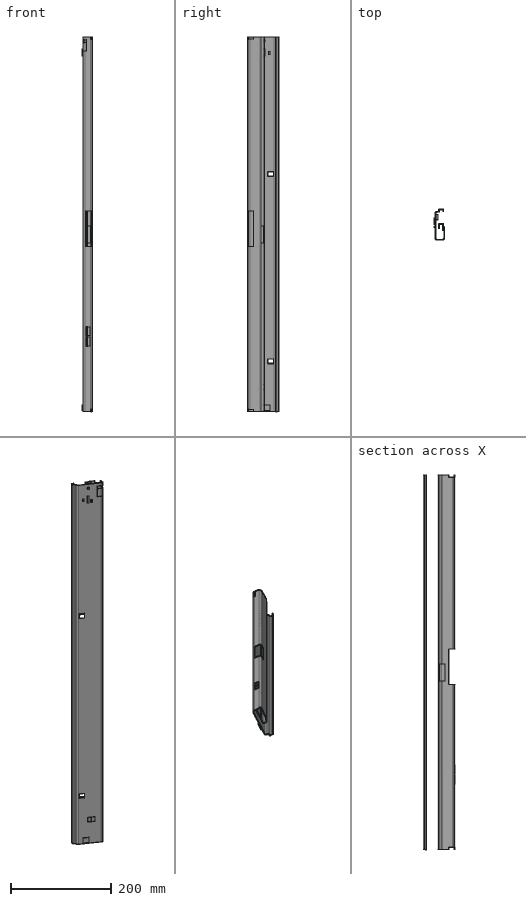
import cadquery as cq
import math

TOTAL_WIDTH = 21.79
TOTAL_DEPTH = 62.55
TOTAL_HEIGHT = 750.0
SHEET = 1.8
TAB_REACH = 2.25

HALF_SHEET = SHEET / 2
WALL_OUTER = TAB_REACH
WALL_INNER = WALL_OUTER + SHEET
WALL_MID = WALL_OUTER + HALF_SHEET
SIDE_MID = TOTAL_WIDTH - HALF_SHEET
LIP_NEAR = 10.6
LIP_FAR = 18.8
LOWER_LIP_TOP = 32.8
LOWER_LIP_END = 23.2
SIDE_JOG = 25.6
SHOULDER_MID = 56.8
UPPER_LIP_TOP = TOTAL_DEPTH - HALF_SHEET
UPPER_LIP_END = 57.2
CORNER_RADIUS = 3.6
LIP_RADIUS = 1.2

RAIL_BOTTOM = 1.2
RAIL_LENGTH = TOTAL_HEIGHT - RAIL_BOTTOM
FOOT_WIDTH = 1.2

MAIN_WINDOW_X = 7.5
MAIN_WINDOW_Z = (331.5, 402.0)
SMALL_WINDOW_X = (8.0, 16.4)
SMALL_WINDOW_Z = (132.0, 170.5)
SMALL_WINDOW_BAR = (150.0, 153.0)
FLANGE_CUT_DEPTH = 12.0
END_NOTCH_X = 17.0
END_NOTCH = 4.5
CLIP_Z = (338.0, 372.5)
CLIP_SHEET = 1.0
CLIP_LEG_END = 19.5

LANCE_Y = (40.5, 51.5)
LANCE_OPENING = 9.5
LANCE_REACH = 8.6
LANCES = ((472.0, 1), (96.5, -1))
DIMPLE_CENTER = (32.6, 741.8)
DIMPLE_DIAMETER = 4.6
RECESS_DEPTH = 0.6
SLOT_Y = (18.0, 33.5)
SLOT_Z = (45.5, 55.0)
LOWER_TAB_Y = (31.5, 44.5)
LOWER_TAB_Z = (3.0, 14.0)
UPPER_TAB_Y = (31.6, 35.0)
UPPER_TAB_Z = (711.5, 726.0)
SIDE_TAB_Y = (25.0, 27.6)
SIDE_TAB_Z = (712.5, 718.0)
RECESS_Y = (41.5, 44.5)
RECESS_Z = (715.0, 720.5)

NOTCH_X = 9.0
NOTCH_Y = 13.0
NOTCH_Z = (722.0, 744.0)
LATCH_TOP = 738.5


def box(x_range, y_range, z_range):
    """Axis-aligned block between the given limits."""
    size = [limits[1] - limits[0] for limits in (x_range, y_range, z_range)]
    corner = (x_range[0], y_range[0], z_range[0])
    return cq.Workplane("XY").box(*size, centered=False).translate(corner)


def bent_strip(points, radii, thickness):
    """Outline of a sheet bent along a centre line, with one centre-line radius per corner."""
    half = thickness / 2

    def direction(start, end):
        length = math.dist(start, end)
        return ((end[0] - start[0]) / length, (end[1] - start[1]) / length)

    def shifted(point, heading, distance):
        return (point[0] + distance * heading[0], point[1] + distance * heading[1])

    def faces(point, heading):
        across = (-heading[1], heading[0])
        return shifted(point, across, half), shifted(point, across, -half)

    start = faces(points[0], direction(points[0], points[1]))
    end = faces(points[-1], direction(points[-2], points[-1]))
    bends = []
    for before, corner, after, radius in zip(points, points[1:], points[2:], radii):
        heading_in = direction(before, corner)
        heading_out = direction(corner, after)
        turn = math.acos(heading_in[0] * heading_out[0] + heading_in[1] * heading_out[1])
        setback = radius * math.tan(turn / 2)
        rise = radius / math.cos(turn / 2) - radius
        along = direction(shifted((0, 0), heading_in, -1), heading_out)
        inward = direction(heading_in, heading_out)
        enter = faces(shifted(corner, heading_in, -setback), heading_in)
        apex = faces(shifted(corner, inward, rise), along)
        leave = faces(shifted(corner, heading_out, setback), heading_out)
        bends.append((enter, apex, leave))

    outline = cq.Workplane("XY").moveTo(*start[0])
    for enter, apex, leave in bends:
        outline = outline.lineTo(*enter[0]).threePointArc(apex[0], leave[0])
    outline = outline.lineTo(*end[0]).lineTo(*end[1])
    for enter, apex, leave in reversed(bends):
        outline = outline.lineTo(*leave[1]).threePointArc(apex[1], enter[1])
    return outline.lineTo(*start[1]).close()


def rail_blank():
    """Full-length bent sheet, with the foot under the upper lip."""
    corners = [
        (LIP_FAR, UPPER_LIP_END),
        (LIP_FAR, UPPER_LIP_TOP),
        (LIP_NEAR, UPPER_LIP_TOP),
        (LIP_NEAR, SHOULDER_MID),
        (WALL_MID, SHOULDER_MID),
        (WALL_MID, HALF_SHEET),
        (SIDE_MID, HALF_SHEET),
        (SIDE_MID, SIDE_JOG),
        (LIP_FAR, SIDE_JOG + SIDE_MID - LIP_FAR),
        (LIP_FAR, LOWER_LIP_TOP),
        (LIP_NEAR, LOWER_LIP_TOP),
        (LIP_NEAR, LOWER_LIP_END),
    ]
    radii = [LIP_RADIUS] * 3 + [CORNER_RADIUS] * 3 + [LIP_RADIUS] * 4
    blank = bent_strip(corners, radii, SHEET).extrude(RAIL_LENGTH).translate((0, 0, RAIL_BOTTOM))
    foot = box(
        (LIP_FAR - HALF_SHEET, LIP_FAR + HALF_SHEET),
        (UPPER_LIP_END, UPPER_LIP_END + FOOT_WIDTH),
        (0, RAIL_BOTTOM),
    )
    return blank.union(foot)


def cut_flange_openings(rail):
    """Windows and end notches in the front flange and its outer bend."""
    depth = (0, FLANGE_CUT_DEPTH)
    to_side = (MAIN_WINDOW_X, TOTAL_WIDTH)
    rail = rail.cut(box(to_side, depth, MAIN_WINDOW_Z))
    bar_bottom, bar_top = SMALL_WINDOW_BAR
    rail = rail.cut(box(SMALL_WINDOW_X, (0, SHEET), (SMALL_WINDOW_Z[0], bar_bottom)))
    rail = rail.cut(box(SMALL_WINDOW_X, (0, SHEET), (bar_top, SMALL_WINDOW_Z[1])))
    for bottom in (RAIL_BOTTOM, TOTAL_HEIGHT - END_NOTCH):
        rail = rail.cut(box((END_NOTCH_X, TOTAL_WIDTH), depth, (bottom, bottom + END_NOTCH)))
    return rail


def add_lances(rail):
    """Openings in the wall, each with a tab bent inward at one end."""
    for bottom, side in LANCES:
        top = bottom + LANCE_OPENING
        rail = rail.cut(box((WALL_OUTER, WALL_INNER), LANCE_Y, (bottom, top)))
        tab_bottom = top - SHEET if side > 0 else bottom
        tab_z = (tab_bottom, tab_bottom + SHEET)
        rail = rail.union(box((WALL_OUTER, LANCE_REACH), LANCE_Y, tab_z))
    return rail


def add_wall_features(rail):
    """Outward tabs, slot, shallow recess and round dimple of the wall."""
    tabs = ((LOWER_TAB_Y, LOWER_TAB_Z), (UPPER_TAB_Y, UPPER_TAB_Z), (SIDE_TAB_Y, SIDE_TAB_Z))
    for y_range, z_range in tabs:
        rail = rail.union(box((0, WALL_OUTER), y_range, z_range))
    rail = rail.cut(box((WALL_OUTER, WALL_INNER), SLOT_Y, SLOT_Z))
    rail = rail.cut(box((WALL_OUTER, WALL_OUTER + RECESS_DEPTH), RECESS_Y, RECESS_Z))
    dimple = (
        cq.Workplane("YZ", origin=(WALL_OUTER, 0, 0))
        .center(*DIMPLE_CENTER)
        .circle(DIMPLE_DIAMETER / 2)
        .extrude(RECESS_DEPTH)
    )
    return rail.cut(dimple)


def corner_block(z_range):
    """Block around the bend between wall and front flange."""
    return box((0, NOTCH_X), (0, NOTCH_Y), z_range)


def make_rail():
    rail = cut_flange_openings(rail_blank())
    rail = add_wall_features(add_lances(rail))
    return rail.cut(corner_block(NOTCH_Z))


def make_latch():
    """Latch filling the lower part of the corner notch and following the bend."""
    return rail_blank().intersect(corner_block((NOTCH_Z[0], LATCH_TOP)))


def make_clip(rail):
    """Angled clip lining the lower lip's web and far leg, fitted to the rail's bends."""
    web_under = LOWER_LIP_TOP - HALF_SHEET
    leg_inner = LIP_FAR - HALF_SHEET
    plate = box((LIP_NEAR + HALF_SHEET, leg_inner), (web_under - CLIP_SHEET, web_under), CLIP_Z)
    leg = box((leg_inner - CLIP_SHEET, leg_inner), (CLIP_LEG_END, web_under), CLIP_Z)
    return plate.union(leg).cut(rail)


rail = make_rail()
latch = make_latch()
clip = make_clip(rail)

result = cq.Compound.makeCompound([rail.val(), latch.val(), clip.val()])